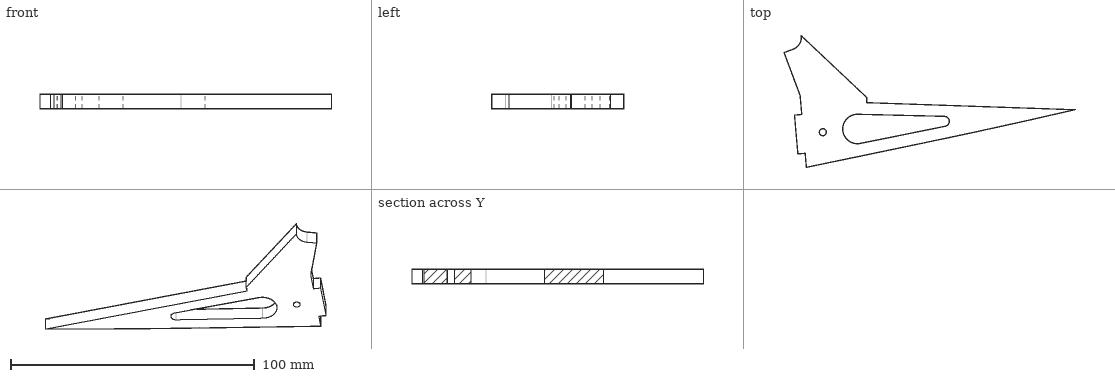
import cadquery as cq
import math

thickness = 6.0
overall_length = 119.75
overall_height = 54.23

rear_lean = 5.0
tab_start = 5.8
tab_end = 21.9
rear_edge_length = 29.7
tab_depth = 3.0

neck_lean = 20.5
neck_length = 18.8

notch_straight = 4.0
peak_x = -2.15

bottom_edge_angle = 11.75
bottom_straight_x = 48.8
tip_y = 23.75
top_edge_angle = 1.95
shoulder_x = 24.9
shoulder_step = 2.05

slot_rear_center = (21.0, 15.8)
slot_rear_radius = 6.0
slot_front_center = (56.7, 18.95)
slot_front_radius = 2.0

hole_center = (6.8, 14.5)
hole_diameter = 2.8


def offset(point, distance, angle):
    """Point reached from `point` by going `distance` at `angle` degrees from +X."""
    radians = math.radians(angle)
    return (point[0] + distance * math.cos(radians), point[1] + distance * math.sin(radians))


def tangent_arc_middle(start, start_angle, end):
    """Midpoint of the arc from `start` to `end` that leaves `start` at `start_angle` degrees."""
    run = end[0] - start[0]
    rise = end[1] - start[1]
    chord_angle = math.degrees(math.atan2(rise, run))
    half_turn = chord_angle - start_angle
    half_chord = math.hypot(run, rise) / 2
    middle_angle = chord_angle - half_turn / 2
    return offset(start, half_chord / math.cos(math.radians(half_turn / 2)), middle_angle)


def fin_plate():
    heel = (0.0, 0.0)
    rear_direction = 90.0 + rear_lean
    outward = rear_direction + 90.0
    tab_low_root = offset(heel, tab_start, rear_direction)
    tab_high_root = offset(heel, tab_end, rear_direction)
    rear_top = offset(heel, rear_edge_length, rear_direction)

    neck_direction = 90.0 + neck_lean
    neck_top = offset(rear_top, neck_length, neck_direction)
    notch_arc_start = offset(neck_top, notch_straight, neck_direction - 90.0)
    peak = (peak_x, overall_height)
    notch_arc_middle = tangent_arc_middle(notch_arc_start, neck_direction - 90.0, peak)

    tip_x = neck_top[0] + overall_length
    tip = (tip_x, tip_y)
    bottom_bend_y = bottom_straight_x * math.tan(math.radians(bottom_edge_angle))
    bottom_bend = (bottom_straight_x, bottom_bend_y)
    shoulder_y = tip[1] + (tip_x - shoulder_x) * math.tan(math.radians(top_edge_angle))

    return (
        cq.Workplane("XY")
        .moveTo(*neck_top)
        .lineTo(*rear_top)
        .lineTo(*tab_high_root)
        .lineTo(*offset(tab_high_root, tab_depth, outward))
        .lineTo(*offset(tab_low_root, tab_depth, outward))
        .lineTo(*tab_low_root)
        .lineTo(*heel)
        .lineTo(*bottom_bend)
        .tangentArcPoint(tip, relative=False)
        .lineTo(shoulder_x, shoulder_y)
        .lineTo(shoulder_x, shoulder_y + shoulder_step)
        .lineTo(*peak)
        .threePointArc(notch_arc_middle, notch_arc_start)
        .close()
        .extrude(thickness)
    )


def tapered_slot():
    run = slot_front_center[0] - slot_rear_center[0]
    rise = slot_front_center[1] - slot_rear_center[1]
    axis_angle = math.degrees(math.atan2(rise, run))
    spread = math.degrees(math.acos((slot_rear_radius - slot_front_radius) / math.hypot(run, rise)))
    upper = axis_angle + spread
    lower = axis_angle - spread
    return (
        cq.Workplane("XY")
        .moveTo(*offset(slot_rear_center, slot_rear_radius, upper))
        .threePointArc(
            offset(slot_rear_center, slot_rear_radius, axis_angle + 180.0),
            offset(slot_rear_center, slot_rear_radius, lower),
        )
        .lineTo(*offset(slot_front_center, slot_front_radius, lower))
        .threePointArc(
            offset(slot_front_center, slot_front_radius, axis_angle),
            offset(slot_front_center, slot_front_radius, upper),
        )
        .close()
        .extrude(thickness)
    )


def pin_hole():
    return cq.Workplane("XY").center(*hole_center).circle(hole_diameter / 2).extrude(thickness)


result = fin_plate().cut(tapered_slot()).cut(pin_hole())